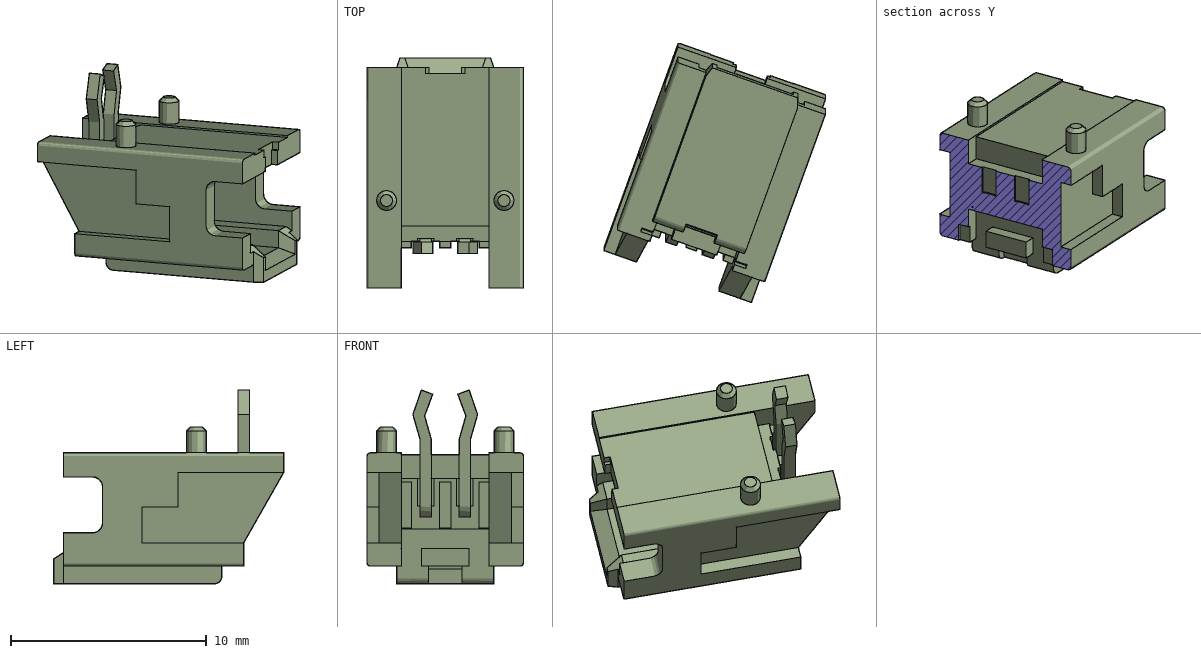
import cadquery as cq


width = 8.0
length = 11.75
height = 9.9
lip_length = 0.49
housing_back = length - lip_length
half_width = width / 2
rail_bottom = 0.9
rail_top = 6.7
rail_inner_x = 2.23
rail_edge_radius = 0.2

lower_rail_front = 2.05
pocket_depth = 0.61
pocket_bottom = 2.1
pocket_step_z = 3.94
pocket_top = 5.7
pocket_step_y = 5.4
pocket_back = 7.25
window_bottom = 2.62
window_top = 5.45
window_depth = 2.0
window_radius = 0.5
slit_front = 2.37
slit_back = 2.57
slit_depth = 0.61

block_front = 3.16
block_top = 6.6
wall_front = 2.39
wall_bottom = 2.8
wall_top = 5.37
stop_front = 2.53
stop_width = 2.44
stop_top = 1.8

rib_front = lower_rail_front
rib_bottom = 2.87
rib_top = 5.2
rib_width = 0.56
side_rib_inner_x = 1.73

keel_half_width = 2.48
keel_radius = 0.4
keel_slot_width = 1.69
keel_slot_depth = 0.4
keel_slot_upper_depth = 0.25
keel_slot_step_z = 0.78
keel_ramp_height = 0.45
keel_ramp_run = 0.12

cavity_front = pocket_step_y
cavity_half_width = 2.85
cavity_floor = stop_top
cavity_roof = window_top
mouth_depth = 0.81
mouth_front = length - mouth_depth
channel_floor = rail_bottom
channel_half_width = 1.79
channel_mouth_drop = 0.33
channel_mouth_flare = 0.28
lip_top = 1.28
lip_half_width = 2.31

roof_notch_half_width = 1.0
roof_notch_inner_half_width = 0.83
roof_notch_depth = 0.32
roof_notch_ledge_depth = 0.4

post_x = 3.0
post_y = 4.46
post_radius = 0.5
post_top = 8.01
post_chamfer = 0.2

pin_x = 1.0
pin_width = 0.59
pin_thickness = 0.6
pin_front = 1.75
pin_back = pin_front + pin_thickness
pin_bottom = 3.4
pin_bend_radius = 0.8
pin_inner_radius = 0.1
pin_end = 3.52
pin_straight_top = 7.38
kink_inner_x = 1.05
kink_inner_z = 8.58
kink_outer_x = 1.66
kink_outer_z = 8.65
tip_inner_x = 0.63
tip_inner_z = 9.68
tip_outer_x = 1.22
groove_width = 0.83
groove_depth = 0.14
groove_bottom = 3.97


def box(x0, x1, y0, y1, z0, z1):
    """Axis-aligned block between two opposite corners."""
    return cq.Workplane("XY").box(x1 - x0, y1 - y0, z1 - z0, centered=False).translate((x0, y0, z0))


def centred_box(half_x, y0, y1, z0, z1):
    return box(-half_x, half_x, y0, y1, z0, z1)


def extrude_yz(points, x0, x1):
    """Closed (y, z) outline extruded from x0 to x1."""
    return cq.Workplane("YZ").polyline(points).close().extrude(x1 - x0).translate((x0, 0, 0))


def mirrored(shape):
    """The shape together with its mirror image across the YZ plane."""
    return shape.union(shape.mirror("YZ"))


def right_rail():
    outline = [
        (0, rail_top),
        (0, pocket_top),
        (lower_rail_front, pocket_bottom),
        (lower_rail_front, rail_bottom),
        (housing_back, rail_bottom),
        (housing_back, rail_top),
    ]
    rail = extrude_yz(outline, rail_inner_x, half_width)
    rail = rail.edges("|Y and >X").fillet(rail_edge_radius)
    pocket = [
        (0, pocket_top),
        (pocket_step_y, pocket_top),
        (pocket_step_y, pocket_step_z),
        (pocket_back, pocket_step_z),
        (pocket_back, pocket_bottom),
        (0, pocket_bottom),
    ]
    rail = rail.cut(extrude_yz(pocket, half_width - pocket_depth, half_width))
    slit = box(rail_inner_x, rail_inner_x + slit_depth, slit_front, slit_back, rail_bottom, stop_top)
    return rail.cut(slit)


def centre_block():
    block = centred_box(rail_inner_x, block_front, housing_back, rail_bottom, block_top)
    pin_wall = centred_box(rail_inner_x, wall_front, block_front, wall_bottom, wall_top)
    stop = centred_box(stop_width / 2, stop_front, block_front, rail_bottom, stop_top)
    return block.union(pin_wall).union(stop)


def ribs():
    centre_rib = centred_box(rib_width / 2, rib_front, wall_front, rib_bottom, rib_top)
    side_rib = box(side_rib_inner_x, rail_inner_x, rib_front, wall_front, rib_bottom, rib_top)
    return centre_rib.union(mirrored(side_rib))


def keel():
    body = centred_box(keel_half_width, block_front, housing_back, 0, rail_bottom)
    body = body.edges("|X and <Y and <Z").fillet(keel_radius)
    slot_back = block_front + keel_slot_depth
    slot_upper_back = block_front + keel_slot_upper_depth
    slot = [
        (block_front, 0),
        (slot_back + keel_ramp_run, 0),
        (slot_back, keel_ramp_height),
        (slot_back, keel_slot_step_z),
        (slot_upper_back, keel_slot_step_z),
        (slot_upper_back, rail_bottom),
        (block_front, rail_bottom),
    ]
    return body.cut(extrude_yz(slot, -keel_slot_width / 2, keel_slot_width / 2))


def lip():
    """Tapered mouth lip; its top runs in line with the mouth slope."""
    slope = (cavity_floor - lip_top) / mouth_depth
    root_top = lip_top + slope * lip_length
    side_view = [(housing_back, 0), (length, 0), (length, lip_top), (housing_back, root_top)]
    plan = [
        (-keel_half_width, housing_back),
        (-lip_half_width, length),
        (lip_half_width, length),
        (keel_half_width, housing_back),
    ]
    taper = cq.Workplane("XY").polyline(plan).close().extrude(root_top)
    return extrude_yz(side_view, -keel_half_width, keel_half_width).intersect(taper)


def cavity():
    """Wide socket with a sloped mouth, and a narrower channel along its floor."""
    socket = [
        (cavity_front, cavity_floor),
        (mouth_front, cavity_floor),
        (length, lip_top),
        (length, cavity_roof),
        (cavity_front, cavity_roof),
    ]
    channel_side = [
        (cavity_front, channel_floor),
        (mouth_front, channel_floor),
        (length, channel_floor - channel_mouth_drop),
        (length, cavity_floor),
        (cavity_front, cavity_floor),
    ]
    channel_mouth_x = channel_half_width + channel_mouth_flare
    channel_plan = [
        (-channel_half_width, cavity_front),
        (channel_half_width, cavity_front),
        (channel_half_width, mouth_front),
        (channel_mouth_x, length),
        (-channel_mouth_x, length),
        (-channel_half_width, mouth_front),
    ]
    channel = extrude_yz(channel_side, -channel_mouth_x, channel_mouth_x)
    channel = channel.intersect(cq.Workplane("XY").polyline(channel_plan).close().extrude(cavity_floor))
    return extrude_yz(socket, -cavity_half_width, cavity_half_width).union(channel)


def rear_window():
    """Rounded opening from side to side through the back of both rails."""
    window = centred_box(half_width, housing_back - window_depth, length, window_bottom, window_top)
    return window.edges("|X and <Y").fillet(window_radius)


def roof_notch():
    notch_front = housing_back - roof_notch_depth
    ledge_z = block_top - roof_notch_ledge_depth
    upper = centred_box(roof_notch_half_width, notch_front, housing_back, ledge_z, block_top)
    through = centred_box(roof_notch_inner_half_width, notch_front, housing_back, cavity_roof, block_top)
    return upper.union(through)


def post():
    body = cq.Workplane("XY").circle(post_radius).extrude(post_top - rail_top)
    return body.faces(">Z").chamfer(post_chamfer).translate((post_x, post_y, rail_top))


def pin_groove():
    inner_x = pin_x - groove_width / 2
    outer_x = pin_x + groove_width / 2
    groove_back = wall_front + groove_depth
    return box(inner_x, outer_x, wall_front, groove_back, groove_bottom, wall_top)


def pin():
    """Pin that leaves the wall forward, turns upward and kinks out and in."""
    inner_x = pin_x - pin_width / 2
    outer_x = pin_x + pin_width / 2
    side_view = (
        cq.Workplane("YZ")
        .moveTo(pin_front, pin_straight_top)
        .lineTo(pin_front, pin_bottom + pin_bend_radius)
        .radiusArc((pin_front + pin_bend_radius, pin_bottom), -pin_bend_radius)
        .lineTo(pin_end, pin_bottom)
        .lineTo(pin_end, pin_bottom + pin_thickness)
        .lineTo(pin_back + pin_inner_radius, pin_bottom + pin_thickness)
        .radiusArc((pin_back, pin_bottom + pin_thickness + pin_inner_radius), pin_inner_radius)
        .lineTo(pin_back, pin_straight_top)
        .close()
    )
    leg = side_view.extrude(pin_width).translate((inner_x, 0, 0))
    kink = [
        (inner_x, pin_straight_top),
        (kink_inner_x, kink_inner_z),
        (tip_inner_x, tip_inner_z),
        (tip_outer_x, height),
        (kink_outer_x, kink_outer_z),
        (outer_x, pin_straight_top),
    ]
    tip = cq.Workplane("XZ").polyline(kink).close().extrude(-pin_thickness).translate((0, pin_front, 0))
    return leg.union(tip)


housing = mirrored(right_rail()).union(centre_block()).union(keel()).union(lip())
housing = housing.cut(cavity()).cut(rear_window()).cut(roof_notch())
housing = housing.cut(mirrored(pin_groove())).union(ribs())
result = housing.union(mirrored(post())).union(mirrored(pin()))